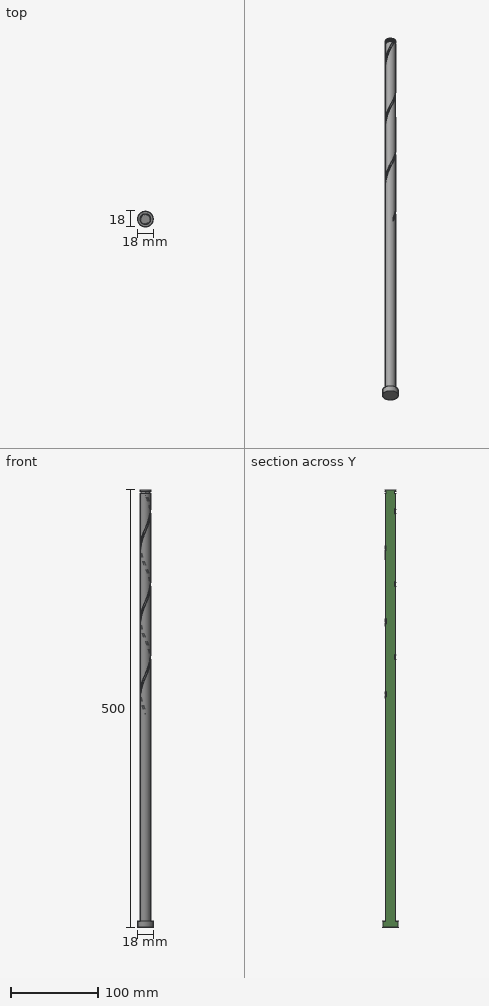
import math

import cadquery as cq

total_length = 500.0
shank_diameter = 12.2
head_diameter = 18.0
head_height = 7.0

groove_width = 2.0
groove_depth = 1.0

tip_land = 2.0

helix_turns = 3
helix_height = 250.0
helix_start_angle = 90.0

shank_radius = shank_diameter / 2
ring_groove_bottom = total_length - tip_land - groove_width
helix_bottom = ring_groove_bottom - helix_height
helix_pitch = helix_height / helix_turns
helix_angle = math.atan(helix_pitch / (math.pi * shank_diameter))
helix_groove_height = groove_width / math.cos(helix_angle)


def make_pin():
    """Plain round shank standing on a cylindrical head."""
    head = cq.Workplane("XY").circle(head_diameter / 2).extrude(head_height)
    shank = cq.Workplane("XY").circle(shank_radius).extrude(total_length)
    return head.union(shank)


def make_helix_cutter():
    """Rectangular thread form that straddles the shank surface."""
    helix = cq.Wire.makeHelix(helix_pitch, helix_height, shank_radius)
    cutter = (
        cq.Workplane("XZ")
        .center(shank_radius, 0)
        .rect(2 * groove_depth, helix_groove_height)
        .sweep(cq.Workplane(helix), isFrenet=True)
    )
    cutter = cutter.rotate((0, 0, 0), (0, 0, 1), helix_start_angle)
    return cutter.translate((0, 0, helix_bottom))


def make_ring_cutter():
    """Ring that straddles the shank surface."""
    return (
        cq.Workplane("XY", origin=(0, 0, ring_groove_bottom))
        .circle(shank_radius + groove_depth)
        .circle(shank_radius - groove_depth)
        .extrude(groove_width)
    )


result = make_pin().cut(make_helix_cutter()).cut(make_ring_cutter())